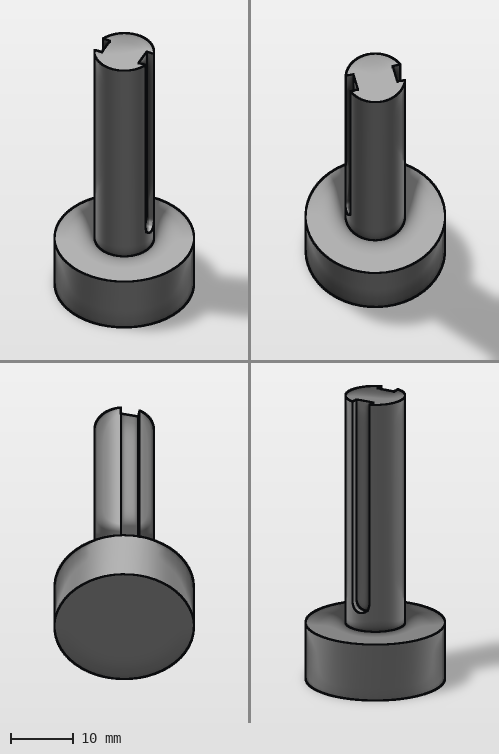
import cadquery as cq

total_height = 47.5
head_diameter = 22.25
head_height = 9.4
shaft_diameter = 9.5
keyway_width = 3.1
keyway_floor_spacing = 6.45
keyway_bottom = 12.35


def make_body():
    """Round head with a concentric shaft standing on it."""
    head = cq.Workplane("XY").circle(head_diameter / 2).extrude(head_height)
    shaft = cq.Workplane("XY").circle(shaft_diameter / 2).extrude(total_height)
    return head.union(shaft)


def make_keyway(side):
    """Cutter for a keyway open at the shaft top, on the +X (1) or -X (-1) side."""
    end_radius = keyway_width / 2
    end_center = keyway_bottom + end_radius
    return (
        cq.Workplane("YZ", origin=(side * keyway_floor_spacing / 2, 0, 0))
        .moveTo(-end_radius, total_height)
        .lineTo(-end_radius, end_center)
        .threePointArc((0, keyway_bottom), (end_radius, end_center))
        .lineTo(end_radius, total_height)
        .close()
        .extrude(side * shaft_diameter / 2)
    )


result = make_body()
for side in (-1, 1):
    result = result.cut(make_keyway(side))